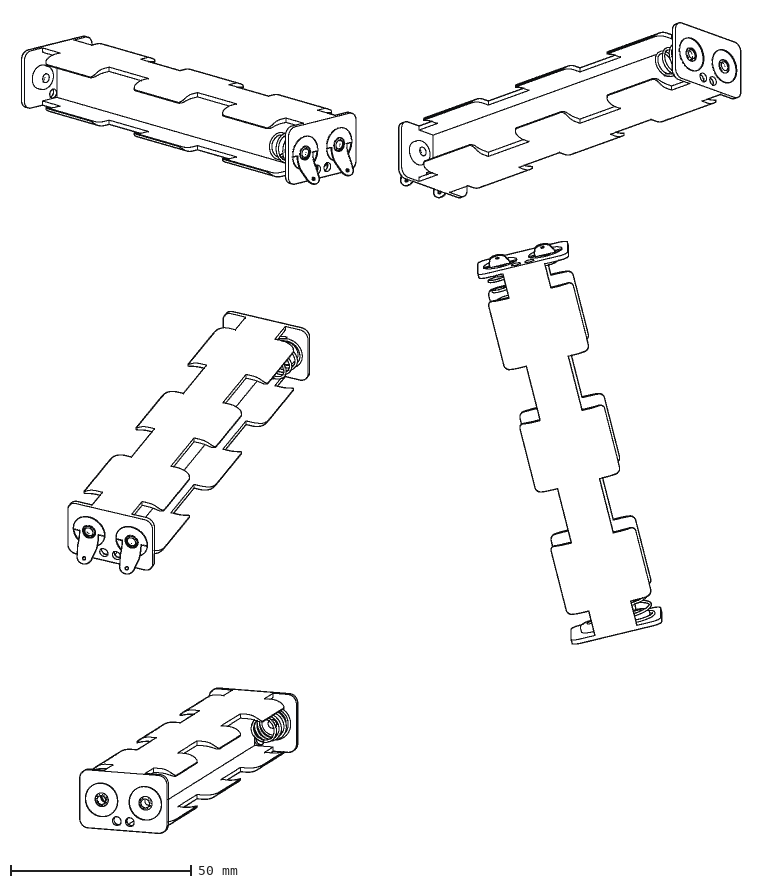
import cadquery as cq
import math

overall_length = 113.2
body_length = 108.7
body_width = 25.7
body_height = 16.5
wall = 1.2
web_thickness = 1.0
end_corner_radius = 2.5

strip_width = 12.0
clip_length = 20.0
clip_spacing = 36.0
clip_count = 3
clip_bend_y = 7.9
clip_reach = 4.2
clip_drop = 1.9
clip_tip_thickness = 0.2
clip_corner_radius = 1.4

cell_y = 6.5
recess_radius = 4.8
recess_depth = 0.3
wire_hole_radius = 1.2
wire_hole_y = 1.9
wire_hole_z = -5.7

rivet_bore_radius = 1.2
rivet_shank_radius = 1.6
rivet_rim_radius = 1.9
rivet_rim_round = 0.2
button_radius = 3.4
button_height = 1.9
button_round = 1.0

wire_radius = 0.3
spring_length = 9.6
spring_base_radius = 4.8
spring_tip_radius = 3.2
spring_turns = 4.5
closed_base_turns = 0.9
closed_tip_turns = 0.7
spring_gap = 0.02
points_per_turn = 16

lug_thickness = recess_depth
lug_bend_z = -0.3
lug_bend_radius = 6.1
lug_slope = 51.0
lug_root_width = 5.7
lug_end_radius = 2.3
lug_hole_radius = 0.5
lug_hole_inset = 1.6

half_length = body_length / 2
half_height = body_height / 2
inner_face_x = half_length - wall
recess_floor_x = half_length - recess_depth
lug_reach = overall_length - body_length
sides = (-1, 1)
end_turns = (0, 180)


def cylinder_x(radius, x_start, x_end, y=0, z=0):
    """Cylinder along X from x_start to x_end."""
    return cq.Workplane("YZ", origin=(x_start, y, z)).circle(radius).extrude(x_end - x_start)


def turned(shape, angle):
    """Shape turned about the vertical axis."""
    return shape.rotate((0, 0, 0), (0, 0, 1), angle)


def tangent_arc_middle(reach, drop):
    """Middle of the inner clip arc, which leaves the flat tangentially and falls by drop over reach."""
    radius = (reach**2 + drop**2) / (2 * drop)
    half_turn = math.atan(drop / reach)
    return (
        clip_bend_y + radius * math.sin(half_turn),
        half_height - wall - radius * (1 - math.cos(half_turn)),
    )


def clip(center_x):
    """Clip at the top on the +Y side: a flat root from the web, then a curve thinning to its tip."""
    tip_y = clip_bend_y + clip_reach
    outer_tip_z = half_height - clip_drop
    sheet = (
        cq.Workplane("YZ", origin=(center_x - clip_length / 2, 0, 0))
        .moveTo(clip_bend_y, half_height - wall)
        .lineTo(0, half_height - wall)
        .lineTo(0, half_height)
        .lineTo(clip_bend_y, half_height)
        .tangentArcPoint((tip_y, outer_tip_z), relative=False)
        .lineTo(tip_y, outer_tip_z - clip_tip_thickness)
        .threePointArc(
            tangent_arc_middle(clip_reach, clip_drop + clip_tip_thickness - wall),
            (clip_bend_y, half_height - wall),
        )
        .close()
        .extrude(clip_length)
    )
    rounded_plan = (
        cq.Workplane("XY", origin=(center_x, 0, 0))
        .rect(clip_length, 2 * tip_y)
        .extrude(half_height)
        .edges("|Z")
        .fillet(clip_corner_radius)
    )
    return sheet.intersect(rounded_plan)


def make_housing():
    """Web, top and bottom plates with clips, and two drilled end plates."""
    frame = cq.Workplane("XY").box(2 * inner_face_x, web_thickness, body_height)
    for side in sides:
        strip = cq.Workplane("XY").box(2 * inner_face_x, strip_width, wall)
        frame = frame.union(strip.translate((0, 0, side * (half_height - wall / 2))))

    for index in range(clip_count):
        upper = clip((index - (clip_count - 1) / 2) * clip_spacing)
        upper = upper.union(upper.mirror("XZ"))
        frame = frame.union(upper).union(upper.mirror("XY"))

    end_plate = (
        cq.Workplane("XY")
        .box(wall, body_width, body_height)
        .edges("|X")
        .fillet(end_corner_radius)
        .translate((half_length - wall / 2, 0, 0))
    )
    for side in sides:
        shank_hole = cylinder_x(rivet_shank_radius, inner_face_x, half_length, side * cell_y)
        recess = cylinder_x(recess_radius, recess_floor_x, half_length, side * cell_y)
        wire_hole = cylinder_x(
            wire_hole_radius, inner_face_x, half_length, side * wire_hole_y, wire_hole_z
        )
        end_plate = end_plate.cut(shank_hole).cut(recess).cut(wire_hole)

    for angle in end_turns:
        frame = frame.union(turned(end_plate, angle))
    return frame


def make_rivet(side):
    """Rivet through the right end plate: rounded button inside, rolled rim in the recess."""
    y = side * cell_y
    button = cylinder_x(button_radius, inner_face_x - button_height, inner_face_x, y)
    button = button.faces("<X").edges().fillet(button_round)
    shank = cylinder_x(rivet_shank_radius, inner_face_x, recess_floor_x, y)
    rim = cylinder_x(rivet_rim_radius, recess_floor_x, half_length, y)
    rim = rim.faces(">X").edges().fillet(rivet_rim_round)
    bore = cylinder_x(rivet_bore_radius, inner_face_x - button_height, half_length, y)
    return button.union(shank).union(rim).cut(bore)


def make_spring():
    """Spring round the -Y button of the right end plate, with both end coils closed."""
    active_turns = spring_turns - closed_base_turns - closed_tip_turns
    base_x = inner_face_x - spring_gap - wire_radius
    travel = spring_length - spring_gap - 2 * wire_radius

    def wire_center(fraction):
        turns = fraction * spring_turns
        progress = min(max((turns - closed_base_turns) / active_turns, 0), 1)
        radius = spring_base_radius + fraction * (spring_tip_radius - spring_base_radius)
        angle = math.pi / 2 - 2 * math.pi * turns
        return (
            base_x - travel * progress,
            -cell_y + radius * math.cos(angle),
            radius * math.sin(angle),
        )

    point_count = int(spring_turns * points_per_turn)
    center_line = cq.Edge.makeSpline(
        [cq.Vector(*wire_center(index / point_count)) for index in range(point_count + 1)]
    )
    start = cq.Plane(
        origin=center_line.startPoint(), xDir=(1, 0, 0), normal=center_line.tangentAt(0)
    )
    path = cq.Wire.assembleEdges([center_line])
    return cq.Workplane(start).circle(wire_radius).sweep(path, isFrenet=True)


def make_lug(side):
    """Part washer in the recess of the right end plate, running into a tongue bent down and outwards."""
    y = side * cell_y
    slope = math.radians(lug_slope)
    bend = math.pi / 2 - slope
    outer_radius = lug_bend_radius + lug_thickness
    bend_center_x = half_length + lug_bend_radius

    def bend_point(radius, turn):
        return (bend_center_x - radius * math.cos(turn), lug_bend_z - radius * math.sin(turn))

    bend_end_x, bend_end_z = bend_point(lug_bend_radius, bend)
    flat_length = (half_length + lug_reach - bend_end_x) / math.cos(slope)

    washer = cylinder_x(recess_radius, recess_floor_x, half_length, y)
    below_bend = (
        cq.Workplane("XY")
        .box(wall, 2 * recess_radius, recess_radius, centered=(True, True, False))
        .translate((half_length, y, lug_bend_z - recess_radius))
    )
    washer = washer.cut(below_bend)

    bent_strip = (
        cq.Workplane("XZ", origin=(0, y + lug_root_width / 2, 0))
        .moveTo(half_length, lug_bend_z)
        .threePointArc(bend_point(lug_bend_radius, bend / 2), (bend_end_x, bend_end_z))
        .lineTo(*bend_point(outer_radius, bend))
        .threePointArc(bend_point(outer_radius, bend / 2), bend_point(outer_radius, 0))
        .close()
        .extrude(lug_root_width)
    )

    slope_plane = cq.Plane(
        origin=(bend_end_x, y, bend_end_z),
        xDir=(math.cos(slope), 0, -math.sin(slope)),
        normal=(math.sin(slope), 0, math.cos(slope)),
    )
    end_center = flat_length - lug_end_radius
    tongue = (
        cq.Workplane(slope_plane)
        .moveTo(0, -lug_root_width / 2)
        .lineTo(end_center, -lug_end_radius)
        .threePointArc((flat_length, 0), (end_center, lug_end_radius))
        .lineTo(0, lug_root_width / 2)
        .close()
        .extrude(-lug_thickness)
    )
    tongue_hole = (
        cq.Workplane(slope_plane)
        .center(flat_length - lug_hole_inset, 0)
        .circle(lug_hole_radius)
        .extrude(-lug_thickness)
    )
    rim_hole = cylinder_x(rivet_rim_radius, recess_floor_x, half_length + lug_thickness, y)
    return washer.union(bent_strip).union(tongue).cut(tongue_hole).cut(rim_hole)


housing = make_housing()
rivets = [turned(make_rivet(side), angle) for angle in end_turns for side in sides]
springs = [turned(make_spring(), angle) for angle in end_turns]
lugs = [make_lug(side) for side in sides]

result = cq.Compound.makeCompound([body.val() for body in [housing, *rivets, *springs, *lugs]])